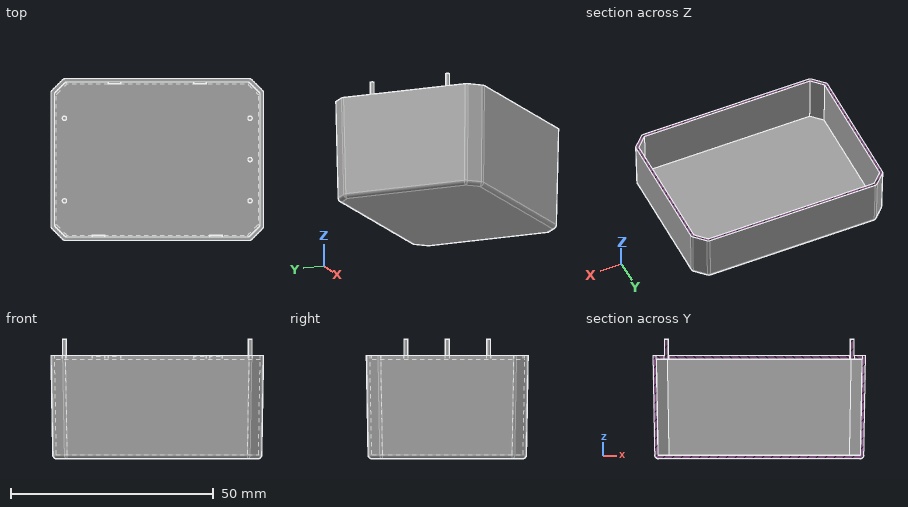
import cadquery as cq
import math

length = 52.5
width = 40.0
total_height = 29.5
pin_height = 4.0
draft_angle = 1.0
corner_cut = 3.2
wall = 0.9
edge_radius = 1.0
cover_thickness = 1.0

pin_diameter = 1.0
pin_x = 22.9
pin_pitch_y = 10.2
pin_places = [
    (-pin_x, -pin_pitch_y),
    (-pin_x, pin_pitch_y),
    (pin_x, -pin_pitch_y),
    (pin_x, 0),
    (pin_x, pin_pitch_y),
]

barb_width = 3.0
barb_reach = 0.35
barb_drop = 0.25
front_barb_x = 14.5
back_barb_x = 10.55
barb_places = [
    (-front_barb_x, -1),
    (front_barb_x, -1),
    (-back_barb_x, 1),
    (back_barb_x, 1),
]

corner_relief = 0.1
barb_gap = 0.1
pin_gap = 0.05

corner_edges = "not (<Z or >Z)"

housing_height = total_height - pin_height
cover_bottom = housing_height - cover_thickness
inner_length = length - 2 * wall
inner_width = width - 2 * wall
inner_corner_cut = corner_cut - wall * (2 - math.sqrt(2))


def tapered_block(size_x, size_y, cut, depth):
    """Rectangular block hanging from the rim level, narrowing downwards, with cut corners."""
    block = (
        cq.Workplane("XY", origin=(0, 0, housing_height))
        .rect(size_x, size_y)
        .extrude(-depth, taper=draft_angle)
    )
    return block.edges(corner_edges).chamfer(cut)


def make_barb(center_x, side):
    """Barb on the wall at the given side (-1 for -Y, 1 for +Y), rooted inside the wall."""
    root_y = inner_width / 2 + wall / 2
    wall_y = inner_width / 2
    tip_y = wall_y - barb_reach
    profile = [
        (side * root_y, cover_bottom),
        (side * root_y, housing_height),
        (side * wall_y, housing_height),
        (side * tip_y, housing_height - barb_drop),
        (side * tip_y, cover_bottom),
    ]
    return (
        cq.Workplane("YZ", origin=(center_x, 0, 0))
        .polyline(profile)
        .close()
        .extrude(barb_width / 2, both=True)
    )


def make_notch(center_x, side):
    """Clearance through the cover for one barb."""
    notch_reach = barb_reach + barb_gap
    notch_width = barb_width + 2 * barb_gap
    notch_y = inner_width / 2 - notch_reach / 2
    return (
        cq.Workplane("XY", origin=(center_x, side * notch_y, cover_bottom))
        .box(notch_width, notch_reach, cover_thickness, centered=(True, True, False))
    )


def make_cavity():
    return tapered_block(inner_length, inner_width, inner_corner_cut, housing_height - wall)


def make_housing():
    shell = tapered_block(length, width, corner_cut, housing_height)
    shell = shell.edges(corner_edges).fillet(edge_radius)
    shell = shell.faces("<Z").edges().fillet(edge_radius)
    shell = shell.cut(make_cavity())
    for center_x, side in barb_places:
        shell = shell.union(make_barb(center_x, side))
    return shell


def make_cover():
    cover_cut = inner_corner_cut + corner_relief
    plate = tapered_block(inner_length, inner_width, cover_cut, cover_thickness)
    for center_x, side in barb_places:
        plate = plate.cut(make_notch(center_x, side))
    holes = (
        cq.Workplane("XY", origin=(0, 0, cover_bottom))
        .pushPoints(pin_places)
        .circle(pin_diameter / 2 + pin_gap)
        .extrude(cover_thickness)
    )
    return plate.cut(holes)


def make_pin(x, y):
    """Pin from the underside of the cover up to the full height."""
    return (
        cq.Workplane("XY", origin=(x, y, cover_bottom))
        .circle(pin_diameter / 2)
        .extrude(total_height - cover_bottom)
    )


housing = make_housing()
cover = make_cover()
pins = [make_pin(x, y) for x, y in pin_places]

result = cq.Compound.makeCompound([housing.val(), cover.val(), *[pin.val() for pin in pins]])